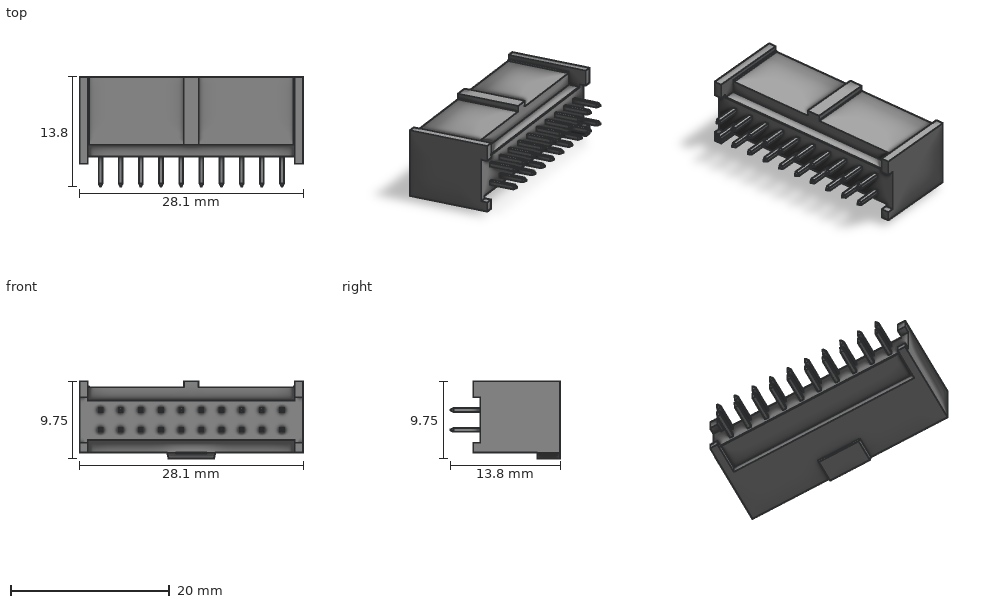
import cadquery as cq


length = 28.12
plate_thickness = 1.07
plate_depth = 10.95
height = 9.0
foot_length = 0.87
upper_foot_height = 2.05
lower_foot_height = 1.27

inner_length = length - 2 * plate_thickness
body_depth = plate_depth - foot_length
base_bottom = 1.55
base_top = 6.6
base_chamfer = 0.08
shell_top = 8.25
shell_front_setback = 1.52
lower_wall_setback = 3.37
corner_chamfer = 0.17

rib_width = 1.83
rib_root_chamfer = 0.05

key_depth = 2.9
key_height = 0.75
key_root_width = 6.07
key_tip_width = 5.75
key_slot_width = 3.82
key_slot_height = 0.1

columns = 10
rows = 2
column_span = 22.83
column_pitch = column_span / (columns - 1)
row_pitch = 2.5
pin_center_z = 4.1
pin_width = 0.5
pin_tip_width = 0.1
pin_tip_length = 0.42
pin_tip_y = -13.8
pin_length = -pin_tip_y - body_depth
pin_shank_length = pin_length - pin_tip_length


def box(x_size, y_min, y_max, z_min, z_max, x_center=0.0):
    """Box centred on x_center, given by its Y and Z limits."""
    return (
        cq.Workplane("XY")
        .box(x_size, y_max - y_min, z_max - z_min, centered=(True, False, False))
        .translate((x_center, y_min, z_min))
    )


def extrude_back(points, depth):
    """Extrude an XZ outline from the mating face toward the pins."""
    return cq.Workplane("XZ").polyline(points).close().extrude(depth)


def end_plate(side):
    """End plate with a foot above and below a notch in its pin-side edge."""
    x_center = side * (length - plate_thickness) / 2
    plate = box(plate_thickness, -plate_depth, 0, 0, height, x_center)
    notch = box(
        plate_thickness, -plate_depth, -body_depth,
        lower_foot_height, height - upper_foot_height, x_center,
    )
    return plate.cut(notch)


def base():
    """Pin-carrying block, chamfered along the long edges of its pin-side face."""
    block = box(inner_length, -body_depth, 0, base_bottom, base_top)
    return block.faces("<Y").edges("|X").chamfer(base_chamfer)


def upper_shell():
    """Upper wall, flaring into the end plates through small corner chamfers."""
    half = inner_length / 2
    outline = [
        (-half, base_top),
        (half, base_top),
        (half, shell_top + corner_chamfer),
        (half - corner_chamfer, shell_top),
        (-half + corner_chamfer, shell_top),
        (-half, shell_top + corner_chamfer),
    ]
    return extrude_back(outline, body_depth - shell_front_setback)


def lower_wall():
    return box(inner_length, lower_wall_setback - body_depth, 0, 0, base_bottom)


def top_rib():
    """Rib with small chamfers where its sides meet the shell top."""
    half = rib_width / 2
    root_half = half + rib_root_chamfer
    outline = [
        (-root_half, shell_top),
        (root_half, shell_top),
        (half, shell_top + rib_root_chamfer),
        (half, height),
        (-half, height),
        (-half, shell_top + rib_root_chamfer),
    ]
    return extrude_back(outline, body_depth - shell_front_setback)


def key():
    """Tapered key with a thin slot through its root."""
    outline = [
        (-key_root_width / 2, 0),
        (key_root_width / 2, 0),
        (key_tip_width / 2, -key_height),
        (-key_tip_width / 2, -key_height),
    ]
    slot = box(key_slot_width, -key_depth, 0, -key_slot_height, 0)
    return extrude_back(outline, key_depth).cut(slot)


def pin(x, z):
    """Square pin with a blunt pyramidal tip."""
    shank = (
        cq.Workplane("XZ", origin=(x, -body_depth, z))
        .rect(pin_width, pin_width)
        .extrude(pin_shank_length)
    )
    return (
        shank.faces("<Y").workplane()
        .rect(pin_width, pin_width)
        .workplane(offset=pin_tip_length)
        .rect(pin_tip_width, pin_tip_width)
        .loft(combine=True)
    )


result = base().union(upper_shell()).union(lower_wall()).union(top_rib()).union(key())
for side in (-1, 1):
    result = result.union(end_plate(side))
for row in range(rows):
    pin_z = pin_center_z + (row - (rows - 1) / 2) * row_pitch
    for column in range(columns):
        pin_x = -column_span / 2 + column * column_pitch
        result = result.union(pin(pin_x, pin_z))